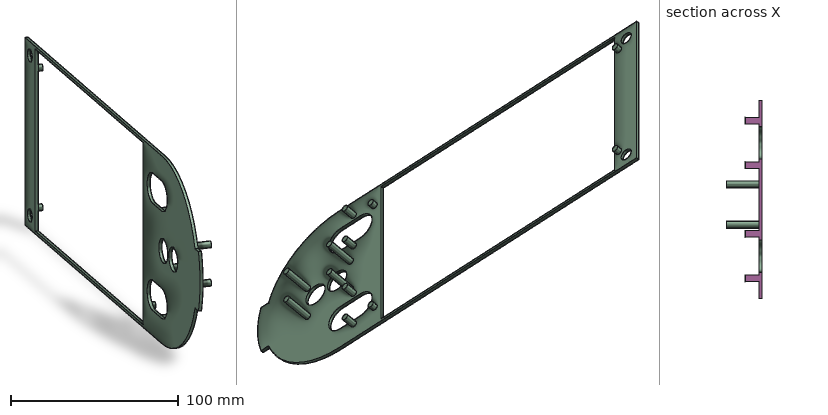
import cadquery as cq
import math

length = 301.0
width = 118.0
total_depth = 21.5
plate_thickness = 2.0

end_radius = width / 2
tab_radius = 64.7
tab_half_width = 18.7
end_center_x = length - tab_radius

window_left = 17.8
window_right = 203.0
rail_width = 1.8

mount_hole_diameter = 7.8
mount_hole_x = 8.5
mount_hole_z = 50.3

slot_length = 34.3
slot_height = 19.0
slot_x = 227.3
slot_z = 33.7
round_hole_diameter = 15.0
round_hole_xs = (237.8, 255.0)


def both_sides(places):
    """Places at +z together with their mirror images at -z."""
    return [(x, side * z) for x, z in places for side in (1, -1)]


post_diameter = 4.2
short_post_height = 3.5
short_post_places = both_sides(((14.0, 44.0), (208.0, 44.0)))
middle_post_height = 8.0
middle_post_places = both_sides(((224.5, 47.0), (224.5, 20.5)))
tall_post_height = total_depth - plate_thickness
tall_post_places = ((227.0, 9.0), (261.0, 9.0), (227.0, -15.0), (261.0, -15.0))


def front_plane():
    """Front face of the plate: local x along X, local y along Z, normal toward -Y."""
    return cq.Workplane(cq.Plane(origin=(0, 0, 0), xDir=(1, 0, 0), normal=(0, -1, 0)))


def make_plate():
    tab_root_x = end_center_x + math.sqrt(end_radius**2 - tab_half_width**2)
    tab_tip_x = end_center_x + math.sqrt(tab_radius**2 - tab_half_width**2)
    arc_angle = (math.pi / 2 + math.asin(tab_half_width / end_radius)) / 2
    arc_mid_x = end_center_x + end_radius * math.cos(arc_angle)
    arc_mid_z = end_radius * math.sin(arc_angle)
    return (
        front_plane()
        .moveTo(0, -width / 2)
        .lineTo(end_center_x, -width / 2)
        .threePointArc((arc_mid_x, -arc_mid_z), (tab_root_x, -tab_half_width))
        .lineTo(tab_tip_x, -tab_half_width)
        .threePointArc((length, 0), (tab_tip_x, tab_half_width))
        .lineTo(tab_root_x, tab_half_width)
        .threePointArc((arc_mid_x, arc_mid_z), (end_center_x, width / 2))
        .lineTo(0, width / 2)
        .close()
        .extrude(-plate_thickness)
    )


def make_openings():
    window_center_x = (window_left + window_right) / 2
    window = (
        front_plane()
        .center(window_center_x, 0)
        .rect(window_right - window_left, width - 2 * rail_width)
        .extrude(-plate_thickness)
    )
    mount_holes = (
        front_plane()
        .pushPoints(both_sides([(mount_hole_x, mount_hole_z)]))
        .circle(mount_hole_diameter / 2)
        .extrude(-plate_thickness)
    )
    slots = (
        front_plane()
        .pushPoints(both_sides([(slot_x, slot_z)]))
        .slot2D(slot_length, slot_height)
        .extrude(-plate_thickness)
    )
    round_holes = (
        front_plane()
        .pushPoints([(x, 0) for x in round_hole_xs])
        .circle(round_hole_diameter / 2)
        .extrude(-plate_thickness)
    )
    return window, mount_holes, slots, round_holes


def make_posts(places, height):
    """Round posts rooted in the full plate thickness and standing `height` above the back face."""
    return (
        front_plane()
        .pushPoints(places)
        .circle(post_diameter / 2)
        .extrude(-(plate_thickness + height))
    )


result = make_plate()
for opening in make_openings():
    result = result.cut(opening)
for post_places, post_height in (
    (short_post_places, short_post_height),
    (middle_post_places, middle_post_height),
    (tall_post_places, tall_post_height),
):
    result = result.union(make_posts(post_places, post_height))